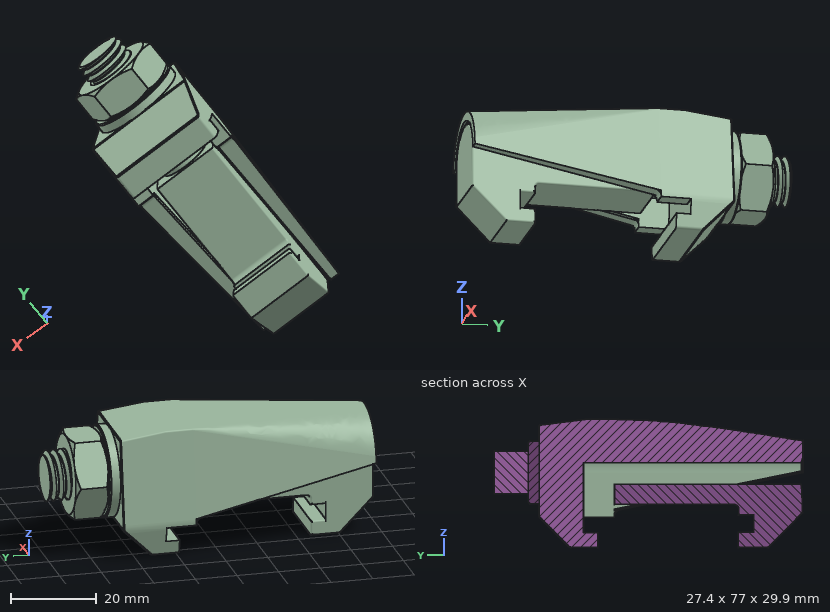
import cadquery as cq
import math


axis_z = 17.5
edge_round = 0.5
reach = 46.2

housing_length = 61.45
housing_height = 29.9
box_front = 43.9
top_half_width = 10.4
shoulder_half_width = 13.8
shoulder_z = 7.5
shoulder_round = 5.8
side_draft = (shoulder_half_width - top_half_width) / (housing_height - shoulder_z)
foot_half_width = 12.25
foot_round = 0.8
corner_round = 0.55
slope_start = 50.5
back_height = 28.5
nose_radius = 10.9
nose_crown_half = 0.1
nose_box_bottom = 8.55
nose_step_round = 1.5
step_fillet_half_width = 13.5
nose_trim = 2.3
back_chamfer = 0.2

hook_ceiling = 7.0
hook_wall = 51.05
hook_tip = 47.75
hook_lip_top = 3.5
hook_heel = 54.3

cavity_radius = 8.4
cavity_foot_half_width = 9.3
cavity_edge_chamfer = 0.4

bolt_body_radius = 8.0
bolt_foot_half_width = 8.55
bolt_body_end = box_front
bolt_body_bottom = 9.85
jaw_tip = 15.1
jaw_notch_wall = 11.5
jaw_lip_top = 3.6
jaw_ceiling = 7.5
jaw_slope = 8.1
jaw_round = 1.0
stud_radius = 6.0
stud_end = 77.0
thread_root_radius = 4.9
thread_pitch = 5.2 / 3
thread_root_half = 0.85
thread_overlap = 0.1
thread_crest_y = 72.5
lead_in_turns = 2

washer_radius = 10.9
washer_thickness = 2.5
washer_chamfer = 0.3
nut_flats = 19.0
nut_thickness = 7.9
nut_chamfer_angle = 30.0
nut_front = housing_length + washer_thickness
nut_back = nut_front + nut_thickness


def section_plane(y):
    """Plane across the part at y, with local x along X and local y along Z."""
    return cq.Workplane(cq.Plane(origin=(0, y, 0), xDir=(1, 0, 0), normal=(0, -1, 0)))


def nearest_pair(x, y, z):
    """Selector for the two edges nearest to (x, y, z) and to its mirror image at -x."""
    nearest = cq.selectors.NearestToPointSelector
    return nearest((x, y, z)) + nearest((-x, y, z))


def side_prism(points):
    """Prism along X, through the whole width, on an outline of (y, z) points."""
    return cq.Workplane("YZ").polyline(points).close().extrude(reach / 2, both=True)


def rod(radius, start, end):
    """Cylinder on the bolt axis from y = start to y = end."""
    return section_plane(start).center(0, axis_z).circle(radius).extrude(start - end)


def arch_prism(radius, leg_half_width, foot_z, end):
    """Round-topped prism with flared legs, from the front face back to y = end."""
    return (
        section_plane(0)
        .moveTo(-leg_half_width, foot_z)
        .lineTo(-radius, axis_z)
        .threePointArc((0, axis_z + radius), (radius, axis_z))
        .lineTo(leg_half_width, foot_z)
        .close()
        .extrude(-end)
    )


def nose_section(y, round_x, round_z, radius, bottom_z):
    """Closed wire with drafted sides, a flat top and two corner arcs centred at (+-round_x, round_z)."""
    draft_angle = math.atan(side_draft)
    mid_angle = (draft_angle + math.pi / 2) / 2
    tangent_x = round_x + radius * math.cos(draft_angle)
    tangent_z = round_z + radius * math.sin(draft_angle)
    mid_x = round_x + radius * math.cos(mid_angle)
    mid_z = round_z + radius * math.sin(mid_angle)
    bottom_x = tangent_x + side_draft * (tangent_z - bottom_z)
    top_z = round_z + radius
    return (
        section_plane(y)
        .moveTo(-bottom_x, bottom_z)
        .lineTo(bottom_x, bottom_z)
        .lineTo(tangent_x, tangent_z)
        .threePointArc((mid_x, mid_z), (round_x, top_z))
        .lineTo(-round_x, top_z)
        .threePointArc((-mid_x, mid_z), (-tangent_x, tangent_z))
        .close()
        .val()
    )


def make_nose():
    """Nose that changes from the drafted box section to the front arch with straight rulings."""
    corner_z = housing_height - corner_round
    draft_run = side_draft * (corner_z - shoulder_z)
    corner_x = shoulder_half_width - draft_run - corner_round * math.hypot(1, side_draft)
    front = nose_section(0, nose_crown_half, axis_z, nose_radius, axis_z - nose_trim)
    back = nose_section(box_front, corner_x, corner_z, corner_round, nose_box_bottom - nose_trim)
    blank = cq.Workplane(cq.Solid.makeLoft([front, back], True))
    below_underside = side_prism([
        (0, axis_z),
        (box_front, nose_box_bottom),
        (box_front, 0),
        (0, 0),
    ])
    return blank.cut(below_underside)


def make_box():
    """Drafted box with the fixed hook below it."""
    cross_section = (
        section_plane(box_front)
        .polyline([
            (-foot_half_width, 0),
            (foot_half_width, 0),
            (shoulder_half_width, shoulder_z),
            (top_half_width, housing_height),
            (-top_half_width, housing_height),
            (-shoulder_half_width, shoulder_z),
        ])
        .close()
        .extrude(box_front - housing_length)
    )
    shoulders = nearest_pair(shoulder_half_width, (box_front + housing_length) / 2, shoulder_z)
    cross_section = cross_section.edges(shoulders).fillet(shoulder_round)
    cross_section = cross_section.faces("<Z").edges("|Y").fillet(foot_round)
    outline = side_prism([
        (box_front, hook_ceiling),
        (hook_wall, hook_ceiling),
        (hook_wall, hook_lip_top),
        (hook_tip, hook_lip_top),
        (hook_tip, 0),
        (hook_heel, 0),
        (housing_length, housing_length - hook_heel),
        (housing_length, back_height),
        (slope_start, housing_height),
        (box_front, housing_height),
    ])
    box = cross_section.intersect(outline)
    above_sides = cq.selectors.BoxSelector(
        (-reach, box_front, back_height - corner_round),
        (reach, housing_length, housing_height + corner_round),
    )
    box = box.edges(above_sides).edges("not |X").fillet(corner_round)
    box = box.faces(">Y").edges().chamfer(back_chamfer)
    slope_middle_y = (hook_heel + housing_length) / 2
    slope_middle_z = (housing_length - hook_heel) / 2
    return box.edges(nearest_pair(shoulder_half_width, slope_middle_y, slope_middle_z)).chamfer(back_chamfer)


def make_step_fillet():
    """Concave round where the underside of the nose meets the front of the box."""
    nose_rise = math.atan((axis_z - nose_box_bottom) / box_front)
    half_angle = (math.pi / 2 + nose_rise) / 2
    tangent_length = nose_step_round / math.tan(half_angle)
    middle_distance = nose_step_round / math.sin(half_angle) - nose_step_round
    wall_point = (box_front, nose_box_bottom - tangent_length)
    middle_point = (
        box_front - middle_distance * math.sin(half_angle),
        nose_box_bottom - middle_distance * math.cos(half_angle),
    )
    nose_point = (
        box_front - tangent_length * math.cos(nose_rise),
        nose_box_bottom + tangent_length * math.sin(nose_rise),
    )
    return (
        cq.Workplane("YZ")
        .moveTo(box_front, nose_box_bottom)
        .lineTo(*wall_point)
        .threePointArc(middle_point, nose_point)
        .close()
        .extrude(step_fillet_half_width, both=True)
    )


def make_mouth():
    """Cone that bevels the front edge of the cavity arch."""
    return (
        section_plane(0)
        .center(0, axis_z)
        .circle(cavity_radius + cavity_edge_chamfer)
        .workplane(offset=-cavity_edge_chamfer)
        .circle(cavity_radius)
        .loft(ruled=True)
    )


def make_housing():
    """Nose and box around an arched cavity that is open at the front and below."""
    cavity = arch_prism(cavity_radius, cavity_foot_half_width, hook_ceiling, hook_wall)
    nose = make_nose().cut(cavity)
    leg_edges = nearest_pair(cavity_radius, box_front / 2, (axis_z + nose_box_bottom) / 2)
    nose = nose.edges(leg_edges).chamfer(cavity_edge_chamfer).cut(make_mouth())
    box = make_box().union(make_step_fillet()).cut(cavity)
    return nose.union(box).cut(rod(stud_radius, hook_wall, housing_length))


def make_thread():
    """Threaded stud end behind the nut: a core with a right-hand V ridge."""
    turn_start = thread_crest_y - lead_in_turns * thread_pitch
    length = stud_end - turn_start + thread_pitch
    helix = cq.Wire.makeHelix(thread_pitch, length, thread_root_radius)
    ridge = (
        cq.Workplane("XZ")
        .polyline([
            (thread_root_radius - thread_overlap, -thread_root_half),
            (stud_radius, 0),
            (thread_root_radius - thread_overlap, thread_root_half),
        ])
        .close()
        .sweep(cq.Workplane(helix), isFrenet=True)
        .rotate((0, 0, 0), (1, 0, 0), -90)
        .rotate((0, 0, 0), (0, 1, 0), -90)
        .translate((0, turn_start, axis_z))
    )
    ridge = ridge.intersect(rod(washer_radius, nut_back, stud_end))
    return rod(thread_root_radius, nut_back, stud_end).union(ridge)


def round_body_edges(body):
    """Round the front face and the lower side edges, except the upright ones inside the jaw notch."""
    side_edges = cq.selectors.BoxSelector(
        (-reach, edge_round, -edge_round), (reach, bolt_body_end - edge_round, axis_z - edge_round)
    )
    notch_uprights = cq.selectors.BoxSelector(
        (-reach, jaw_notch_wall - edge_round, jaw_lip_top + edge_round),
        (reach, jaw_notch_wall + edge_round, jaw_ceiling - edge_round),
    )
    across = cq.StringSyntaxSelector("|X")
    front_edges = body.faces("<Y").edges("not |X")
    return body.edges(side_edges - notch_uprights - across).add(front_edges).fillet(edge_round)


def make_hook_bolt():
    """Arched body with the front jaw below it and the threaded stud behind it."""
    body = arch_prism(bolt_body_radius, bolt_foot_half_width, 0, bolt_body_end)
    body_top = axis_z + bolt_body_radius
    outline = side_prism([
        (0, jaw_slope),
        (jaw_slope, 0),
        (jaw_tip, 0),
        (jaw_tip, jaw_lip_top),
        (jaw_notch_wall, jaw_lip_top),
        (jaw_notch_wall, jaw_ceiling),
        (jaw_tip, jaw_ceiling),
        (jaw_tip, bolt_body_bottom),
        (bolt_body_end, bolt_body_bottom),
        (bolt_body_end, body_top),
        (0, body_top),
    ])
    inner_corner = cq.selectors.NearestToPointSelector((0, jaw_tip, bolt_body_bottom))
    outline = outline.edges("|X").edges(inner_corner).fillet(jaw_round)
    body = body.intersect(outline)
    return round_body_edges(body).union(rod(stud_radius, bolt_body_end, nut_back)).union(make_thread())


def make_washer():
    """Flat washer, chamfered on the nut side."""
    washer = rod(washer_radius, housing_length, nut_front).faces(">Y").edges().chamfer(washer_chamfer)
    return washer.cut(rod(stud_radius, housing_length, nut_front))


def make_nut():
    """Hexagon nut with its corners chamfered at both faces."""
    corner_radius = nut_flats / math.sqrt(3)
    blank = section_plane(nut_front).center(0, axis_z).polygon(6, 2 * corner_radius).extrude(-nut_thickness)
    face_radius = nut_flats / 2
    chamfer_height = (corner_radius - face_radius) * math.tan(math.radians(nut_chamfer_angle))
    chamfered = (
        rod(corner_radius, nut_front, nut_back)
        .faces("<Y or >Y")
        .edges()
        .chamfer(chamfer_height, corner_radius - face_radius)
    )
    return blank.intersect(chamfered).cut(rod(stud_radius, nut_front, nut_back))


housing = make_housing()
hook_bolt = make_hook_bolt()
washer = make_washer()
nut = make_nut()
result = cq.Compound.makeCompound([housing.val(), hook_bolt.val(), washer.val(), nut.val()])